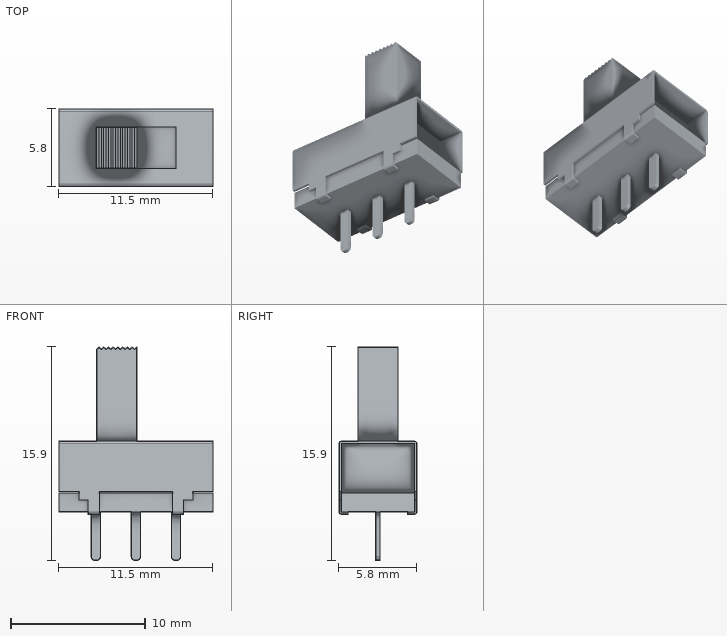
import cadquery as cq

length = 11.5
width = 5.8
wall = 0.19
inner_width = width - 2 * wall

base_height = 1.4
pin_pitch = 2.99
pin_width = 0.7
pin_thickness = 0.33
pin_length = 3.63
pin_tip_radius = 0.29

cover_top = 5.26
cover_bend_radius = wall
skirt_bottom = 1.5
slot_length = 5.98
slot_width = 3.1
leg_inner = 2.73
leg_outer = 3.56
shoulder_outer = 4.25
shoulder_bottom = 0.86
tab_reach = 0.68

carriage_length = 7.63
knob_side = 3.0
knob_center_x = -1.43
knob_top = 12.27
ridge_depth = 0.16
ridge_count = 9
ridge_pitch = knob_side / (ridge_count - 0.5)


def make_pin(x):
    """A flat terminal with a rounded tip, hanging from the base."""
    pin = cq.Workplane("XY").box(pin_width, pin_thickness, pin_length, centered=(True, True, False))
    pin = pin.faces("<Z").edges("|Y").fillet(pin_tip_radius)
    return pin.translate((x, 0, -pin_length))


def make_base():
    """The base plate with its three terminals."""
    base = cq.Workplane("XY").box(length, inner_width, base_height, centered=(True, True, False))
    for x in (-pin_pitch, 0, pin_pitch):
        base = base.union(make_pin(x))
    return base


def make_leg(side):
    """A stepped leg below each side wall, drawn through the full width; side is -1 or 1."""
    points = [
        (leg_inner, skirt_bottom),
        (leg_inner, -wall),
        (leg_outer, -wall),
        (leg_outer, shoulder_bottom),
        (shoulder_outer, shoulder_bottom),
        (shoulder_outer, skirt_bottom),
    ]
    outline = cq.Workplane("XZ").polyline([(side * x, z) for x, z in points]).close()
    return outline.extrude(width / 2, both=True)


def make_cover():
    """A folded sheet cover, open at both ends, with legs folded under the base."""
    section_height = cover_top + wall
    section = (
        cq.Workplane("XY", origin=(0, 0, -wall))
        .box(length, width, section_height, centered=(True, True, False))
        .edges("|X")
        .fillet(cover_bend_radius)
    )
    inside = cq.Workplane("XY").box(length, inner_width, cover_top - wall, centered=(True, True, False))
    bottom_opening = cq.Workplane("XY", origin=(0, 0, -wall)).box(
        length, width - 2 * tab_reach, wall, centered=(True, True, False)
    )
    section = section.cut(inside).cut(bottom_opening)

    outline = cq.Workplane("XY", origin=(0, 0, skirt_bottom)).box(
        length, width, cover_top - skirt_bottom, centered=(True, True, False)
    )
    for side in (-1, 1):
        outline = outline.union(make_leg(side))

    slot = cq.Workplane("XY", origin=(0, 0, cover_top - wall)).box(
        slot_length, slot_width, wall, centered=(True, True, False)
    )
    return section.intersect(outline).cut(slot)


def make_slider():
    """The carriage between base and cover, with its ridged knob."""
    carriage_top = cover_top - wall
    carriage = cq.Workplane("XY", origin=(0, 0, base_height)).box(
        carriage_length, inner_width, carriage_top - base_height, centered=(True, True, False)
    )

    left = knob_center_x - knob_side / 2
    right = left + knob_side
    valley_z = knob_top - ridge_depth
    outline = [(right, carriage_top), (left, carriage_top)]
    for ridge in range(ridge_count):
        valley_x = left + ridge * ridge_pitch
        outline.append((valley_x, valley_z))
        outline.append((valley_x + ridge_pitch / 2, knob_top))
    knob = cq.Workplane("XZ").polyline(outline).close().extrude(knob_side / 2, both=True)
    return carriage.union(knob)


base = make_base()
cover = make_cover()
slider = make_slider()
result = cq.Compound.makeCompound([base.val(), cover.val(), slider.val()])